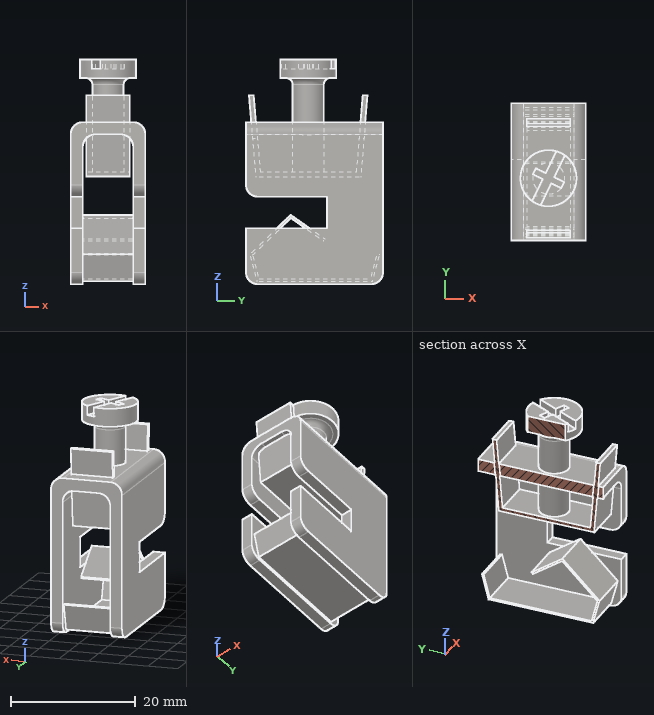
import cadquery as cq
import math

HOUSING_WIDTH = 12.0
HOUSING_LENGTH = 22.0
HOUSING_HEIGHT = 26.0
WALL = 1.98
CORNER_RADIUS = 1.98
SLOT_DEPTH = 13.0
SLOT_BOTTOM = 9.0
SLOT_TOP = 14.0
INNER_WIDTH = HOUSING_WIDTH - 2 * WALL
FRONT_Y = -HOUSING_LENGTH / 2

SCREW_Y = -1.0
TAB_WIDTH = 7.0
TAB_THICKNESS = 0.8
TAB_TOP = 30.28
TAB_BOTTOM = 17.25
TAB_TOP_REACH = 9.5
TAB_LEAN = 0.35
TAB_BOTTOM_REACH = TAB_TOP_REACH - TAB_LEAN * (TAB_TOP - TAB_BOTTOM) / (TAB_TOP - HOUSING_HEIGHT)

TOTAL_HEIGHT = 36.0
HEAD_RADIUS = 4.5
HEAD_HEIGHT = 3.0
SHANK_RADIUS = 2.52
NECK_RADIUS = 1.0
SCREW_TIP = TAB_BOTTOM
DRIVE_DEPTH = 1.5
DRIVE_SLOT_WIDTH = 1.5
CROSS_WIDTH = 1.08
CROSS_LENGTH = 5.05
DRIVE_ANGLE = 64.0

SPRING_THICKNESS = 0.4
SPRING_BOTTOM = 0.45
SPRING_BASE_REACH = 9.2
SPRING_FOLD_REACH = 10.35
SPRING_FOLD_HEIGHT = 4.85
SPRING_PEAK = (-3.8, 11.12)
SPRING_FREE_END = (1.62, 7.3)


def make_channel():
    """U channel, rounded along its top edges, with the side slot cut through both walls."""
    channel = (
        cq.Workplane("XY")
        .box(HOUSING_WIDTH, HOUSING_LENGTH, HOUSING_HEIGHT, centered=(True, True, False))
        .edges("|Y and >Z")
        .fillet(CORNER_RADIUS)
        .edges("|X and <Z")
        .fillet(CORNER_RADIUS)
    )
    cavity = (
        cq.Workplane("XY")
        .box(INNER_WIDTH, HOUSING_LENGTH, HOUSING_HEIGHT - WALL, centered=(True, True, False))
        .edges("|Y and >Z")
        .fillet(CORNER_RADIUS)
    )
    side_slot = (
        cq.Workplane("XY")
        .box(HOUSING_WIDTH, SLOT_DEPTH, SLOT_TOP - SLOT_BOTTOM, centered=(True, False, False))
        .translate((0, FRONT_Y, SLOT_BOTTOM))
    )
    slot_lip = cq.selectors.NearestToPointSelector((0, FRONT_Y, SLOT_TOP))
    return channel.cut(side_slot).edges(slot_lip).fillet(CORNER_RADIUS).cut(cavity)


def make_yoke():
    """Flat base with an outward-leaning tab at each end, bent from one strip."""
    tab_top_inside = TAB_TOP_REACH - TAB_THICKNESS
    base_top = TAB_BOTTOM + TAB_THICKNESS
    lean_slope = (TAB_TOP_REACH - TAB_BOTTOM_REACH) / (TAB_TOP - TAB_BOTTOM)
    base_inside = TAB_BOTTOM_REACH - TAB_THICKNESS + lean_slope * TAB_THICKNESS
    half_profile = [
        (TAB_BOTTOM_REACH, TAB_BOTTOM),
        (TAB_TOP_REACH, TAB_TOP),
        (tab_top_inside, TAB_TOP),
        (base_inside, base_top),
    ]
    mirrored = [(-reach, height) for reach, height in reversed(half_profile)]
    return (
        cq.Workplane("YZ")
        .polyline(half_profile + mirrored)
        .close()
        .extrude(TAB_WIDTH / 2, both=True)
        .translate((0, SCREW_Y, 0))
    )


def make_screw():
    """Cheese-head screw with a rounded neck and a combined slot and cross drive."""
    head_bottom = TOTAL_HEIGHT - HEAD_HEIGHT
    neck_offset = NECK_RADIUS * (1 - math.sqrt(0.5))
    body = (
        cq.Workplane("XZ")
        .moveTo(0, SCREW_TIP)
        .lineTo(SHANK_RADIUS, SCREW_TIP)
        .lineTo(SHANK_RADIUS, head_bottom - NECK_RADIUS)
        .threePointArc(
            (SHANK_RADIUS + neck_offset, head_bottom - neck_offset),
            (SHANK_RADIUS + NECK_RADIUS, head_bottom),
        )
        .lineTo(HEAD_RADIUS, head_bottom)
        .lineTo(HEAD_RADIUS, TOTAL_HEIGHT)
        .lineTo(0, TOTAL_HEIGHT)
        .close()
        .revolve(360, (0, 0), (0, 1))
    )
    drive = (
        cq.Workplane("XY")
        .workplane(offset=TOTAL_HEIGHT - DRIVE_DEPTH)
        .rect(2 * HEAD_RADIUS, DRIVE_SLOT_WIDTH)
        .extrude(DRIVE_DEPTH)
    )
    cross = (
        cq.Workplane("XY")
        .workplane(offset=TOTAL_HEIGHT - DRIVE_DEPTH)
        .rect(CROSS_WIDTH, CROSS_LENGTH)
        .extrude(DRIVE_DEPTH)
    )
    recess = drive.union(cross).rotate((0, 0, 0), (0, 0, 1), DRIVE_ANGLE)
    return body.cut(recess).translate((0, SCREW_Y, 0))


def inner_side(path, thickness):
    """Path shifted to its left by the thickness, with mitred bends."""
    normals = []
    for (y0, z0), (y1, z1) in zip(path, path[1:]):
        length = math.hypot(y1 - y0, z1 - z0)
        normals.append(((z0 - z1) / length, (y1 - y0) / length))
    shifted = []
    for (y, z), before, after in zip(path, normals[:1] + normals, normals + normals[-1:]):
        miter = thickness / (1 + before[0] * after[0] + before[1] * after[1])
        shifted.append((y + miter * (before[0] + after[0]), z + miter * (before[1] + after[1])))
    return shifted


def make_spring():
    """Strip bent into a tray, its front wall folded back over a peak to a free end."""
    outer = [
        SPRING_FREE_END,
        SPRING_PEAK,
        (-SPRING_FOLD_REACH, SPRING_FOLD_HEIGHT),
        (-SPRING_BASE_REACH, SPRING_BOTTOM),
        (SPRING_BASE_REACH, SPRING_BOTTOM),
        (SPRING_FOLD_REACH, SPRING_FOLD_HEIGHT),
    ]
    inner = inner_side(outer, SPRING_THICKNESS)
    outline = outer + inner[::-1]
    return cq.Workplane("YZ").polyline(outline).close().extrude(INNER_WIDTH / 2, both=True)


clamp = make_screw().union(make_yoke())
housing = make_channel().cut(clamp)
spring = make_spring()

result = cq.Compound.makeCompound([housing.val(), clamp.val(), spring.val()])